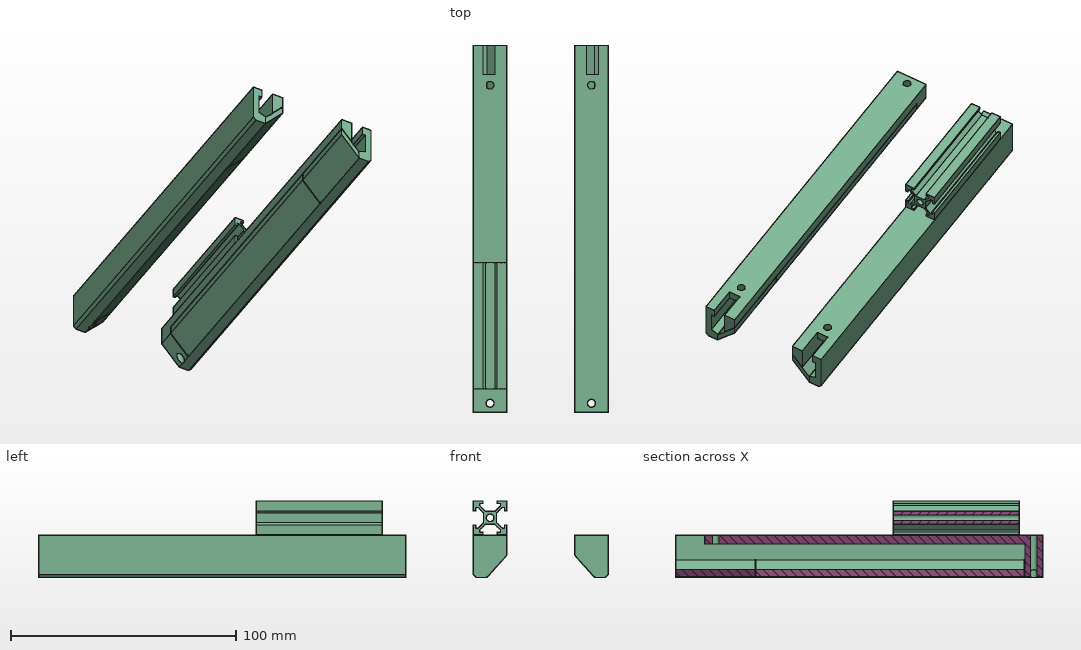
import cadquery as cq

RAIL_LENGTH = 163.0
RAIL_WIDTH = 15.0
RAIL_HEIGHT = 18.9
RAIL_GAP = 30.0
MIRROR_X = RAIL_WIDTH + RAIL_GAP / 2

OUTER_CHAMFER = 1.3
FLAT_END_X = 6.0
INNER_WALL_HEIGHT = 9.0
SLOPE_START_Z = RAIL_HEIGHT - INNER_WALL_HEIGHT
SLOPE = SLOPE_START_Z / (RAIL_WIDTH - FLAT_END_X)

FRONT_BLOCK = 8.0
REAR_COVER_LENGTH = 35.5
COVER_SEAM_DEPTH = 5.2
COVER_SEAM_Z = RAIL_HEIGHT - COVER_SEAM_DEPTH
COVER_FOOT_X = 6.2
COVER_GAP = 0.3

ROOF_THICKNESS = 4.0
OUTER_WALL = 3.0
CAVITY_FLOOR_RISE = 1.3

WIRE_SLOT_LENGTH = 12.9
WIRE_SLOT_START_X = 4.4
WIRE_SLOT_WIDTH = 5.4
WIRE_SLOT_END_X = WIRE_SLOT_START_X + WIRE_SLOT_WIDTH
SCREW_HOLE_DIAMETER = 3.5

EXTRUSION_SIZE = RAIL_WIDTH
EXTRUSION_LENGTH = 56.0
EXTRUSION_START_Y = 10.5
EXTRUSION_CLEARANCE = 0.2
EXTRUSION_BORE = 3.3
CORE_SIZE = 5.9
SLOT_OPENING = 6.2
LIP_THICKNESS = 1.1
CORNER_BLOCK = 3.0
WEB_OFFSET = 0.8


def prism(points, start_y, end_y):
    """Extrude an XZ outline from start_y to end_y."""
    return cq.Workplane("XZ", origin=(0, start_y, 0)).polyline(points).close().extrude(start_y - end_y)


def cover_top_z(x):
    """Height of the cover's inner surface, which runs parallel to the rail slope."""
    return COVER_SEAM_Z - SLOPE * (RAIL_WIDTH - x)


def cover_slab(start_y, end_y, clearance):
    """Slab forming the sloped underside and the lower part of the inner wall, lowered by a clearance."""
    outline = [
        (FLAT_END_X, 0),
        (RAIL_WIDTH, SLOPE_START_Z),
        (RAIL_WIDTH, COVER_SEAM_Z - clearance),
        (COVER_FOOT_X, cover_top_z(COVER_FOOT_X) - clearance),
    ]
    return prism(outline, start_y, end_y)


def cover(start_y, end_y):
    """Cover body that leaves a narrow gap above it and at its front end."""
    return cover_slab(start_y + COVER_GAP, end_y, COVER_GAP)


def screw_hole(y, bottom_z):
    """Vertical drill through the middle of the rail width, from bottom_z up to the top face."""
    drill = cq.Workplane("XY", origin=(RAIL_WIDTH / 2, y, bottom_z))
    return drill.circle(SCREW_HOLE_DIAMETER / 2).extrude(RAIL_HEIGHT - bottom_z)


def rail():
    """Hollow rail with a solid front block, a wire slot and two screw holes."""
    outline = [
        (OUTER_CHAMFER, 0),
        (FLAT_END_X, 0),
        (RAIL_WIDTH, SLOPE_START_Z),
        (RAIL_WIDTH, RAIL_HEIGHT),
        (0, RAIL_HEIGHT),
        (0, OUTER_CHAMFER),
    ]
    cavity_floor_z = cover_top_z(COVER_FOOT_X)
    cavity_top_z = RAIL_HEIGHT - ROOF_THICKNESS
    cavity = [
        (OUTER_WALL, cavity_top_z),
        (WIRE_SLOT_END_X, cavity_top_z),
        (WIRE_SLOT_END_X, cover_top_z(WIRE_SLOT_END_X)),
        (COVER_FOOT_X, cavity_floor_z),
        (OUTER_WALL, cavity_floor_z + CAVITY_FLOOR_RISE),
    ]
    wire_slot = cq.Workplane("XY").box(WIRE_SLOT_WIDTH, WIRE_SLOT_LENGTH, ROOF_THICKNESS, centered=False)
    wire_slot = wire_slot.translate((WIRE_SLOT_START_X, RAIL_LENGTH - WIRE_SLOT_LENGTH, cavity_top_z))

    body = prism(outline, 0, RAIL_LENGTH)
    body = body.cut(cover_slab(FRONT_BLOCK, RAIL_LENGTH, 0))
    body = body.cut(prism(cavity, FRONT_BLOCK, RAIL_LENGTH))
    body = body.cut(wire_slot)
    body = body.cut(screw_hole(FRONT_BLOCK / 2, 0))

    return body.cut(screw_hole(RAIL_LENGTH - REAR_COVER_LENGTH / 2, cavity_top_z))


def extrusion():
    """Square T-slot extrusion lying just above the left rail."""
    half = EXTRUSION_SIZE / 2
    core = CORE_SIZE / 2
    pocket = half - CORNER_BLOCK
    lip_z = half - LIP_THICKNESS
    half_slot = [
        (core - WEB_OFFSET, core),
        (pocket, pocket + WEB_OFFSET),
        (pocket, lip_z),
        (SLOT_OPENING / 2, lip_z),
        (SLOT_OPENING / 2, half),
    ]
    slot = half_slot + [(-x, z) for x, z in reversed(half_slot)]

    body = cq.Workplane("XZ").rect(EXTRUSION_SIZE, EXTRUSION_SIZE).circle(EXTRUSION_BORE / 2)
    body = body.extrude(-EXTRUSION_LENGTH)
    t_slot = prism(slot, 0, EXTRUSION_LENGTH)
    for turn in range(4):
        body = body.cut(t_slot.rotate((0, 0, 0), (0, 1, 0), 90 * turn))
    return body.translate((half, EXTRUSION_START_Y, RAIL_HEIGHT + EXTRUSION_CLEARANCE + half))


def mirrored(body):
    """Copy of a left-hand body for the right-hand rail."""
    return body.mirror("YZ", (MIRROR_X, 0, 0))


rear_joint_y = RAIL_LENGTH - REAR_COVER_LENGTH
left_rail_set = [
    rail(),
    cover(FRONT_BLOCK, rear_joint_y),
    cover(rear_joint_y, RAIL_LENGTH),
]

bodies = [extrusion()]
for left_body in left_rail_set:
    bodies.append(left_body)
    bodies.append(mirrored(left_body))

result = cq.Compound.makeCompound([body.val() for body in bodies])